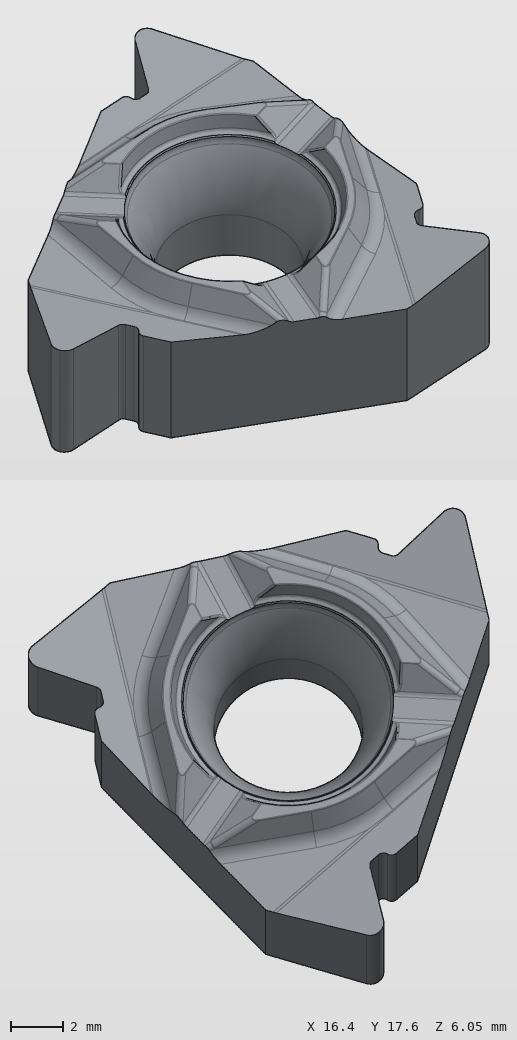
import cadquery as cq
import math

PITCH = 120
TIP_ANGLES = (0, PITCH, 2 * PITCH)

SIDE_DISTANCE = 6.33
FLANK_DISTANCE = 8.27
TIP_REACH = 9.32
TIP_RADIUS = 0.51
INNER_TIP_RADIUS = 0.53
FLANK_ANGLE = 60.0
SHOULDER_DISTANCE = 7.34
GROOVE_DISTANCE = 6.9
GROOVE_END_X = -1.67
SHOULDER_START_X = -1.15
GROOVE_RADIUS = 0.26

TIP_NORMAL = 270
SIDE_NORMAL = 180
NEXT_SIDE_NORMAL = SIDE_NORMAL + PITCH

TOP_Z = 6.05
FLOOR_Z = 5.0
CHANNEL_Z = 5.28
LEDGE_Z = 5.33

CREASE_DISTANCE = 5.88
RAKE_ANGLE = 9.0
CREASE_RADIUS = 0.7

ISLAND_RADIUS = 4.82
WALL_SLANT = 36.0
WALL_FOOT_RADIUS = 0.7
ARC_START = -2.3
ARC_END = 30.3
WALL_LENGTH = 4.57

CHANNEL_ANGLE = 74.0
CHANNEL_FLOOR_HALF_WIDTH = 0.55
CHANNEL_TOP_HALF_WIDTH = 1.55
CHANNEL_RADIUS = 0.32
RIDGE_ROUND = 0.25
RECESS_EDGE_ROUND = 0.1
TOP_ROUND = 0.05

HOLE_RADIUS = 5.7 / 2
FLARE_TOP_RADIUS = 3.92
FLARE_TOP_Z = 5.0
FLARE_RADIUS = 4.15
LIP_HOLLOW_RADIUS = 0.42
RECESS_TOP_RADIUS = 4.5
RECESS_BOTTOM_RADIUS = 4.25
RECESS_ROUND = 0.21

CLEARANCE = 1.76
OUTER_REACH = 12.31


def rotated(point, degrees):
    """Turn a plan point about the hole axis."""
    c = math.cos(math.radians(degrees))
    s = math.sin(math.radians(degrees))
    return (point[0] * c - point[1] * s, point[0] * s + point[1] * c)


def repeated(body):
    """Union of a body with its two copies around the hole axis."""
    combined = body
    for angle in TIP_ANGLES[1:]:
        combined = combined.union(body.rotate((0, 0, 0), (0, 0, 1), angle))
    return combined


def rounded_nearest(body, point, radius):
    """Round, at every tip, the edge closest to a point given for the first tip or channel."""
    x, y, z = point
    for angle in TIP_ANGLES:
        spot = (*rotated((x, y), angle), z)
        body = body.edges(cq.selectors.NearestToPointSelector(spot)).fillet(radius)
    return body


def crossing(normal_a, distance_a, normal_b, distance_b):
    """Plan point where two lines meet, each given by its normal angle and distance from the axis."""
    a = math.radians(normal_a)
    b = math.radians(normal_b)
    det = math.sin(b - a)
    x = (distance_a * math.sin(b) - distance_b * math.sin(a)) / det
    y = (distance_b * math.cos(a) - distance_a * math.cos(b)) / det
    return (x, y)


def outline_body():
    """Full-height prism of the plan outline, its tips and relief grooves included."""
    cos_flank = math.cos(math.radians(FLANK_ANGLE))
    sin_flank = math.sin(math.radians(FLANK_ANGLE))
    tan_flank = sin_flank / cos_flank
    tip_y = TIP_RADIUS - TIP_REACH
    tip_x = -(FLANK_DISTANCE - TIP_RADIUS + tip_y * cos_flank) / sin_flank

    side_to_flank = crossing(SIDE_NORMAL, SIDE_DISTANCE, TIP_NORMAL - FLANK_ANGLE, FLANK_DISTANCE)
    crest = (tip_x, -TIP_REACH)

    def on_tip(radius, degrees):
        """Point on a tip arc that touches the crest, by its angle from the crest."""
        turn = math.radians(degrees)
        return (tip_x + radius * math.sin(turn), -TIP_REACH + radius * (1 - math.cos(turn)))

    flank_end = on_tip(TIP_RADIUS, -FLANK_ANGLE)
    flank_middle = on_tip(TIP_RADIUS, -FLANK_ANGLE / 2)
    inner_flank_start = on_tip(INNER_TIP_RADIUS, FLANK_ANGLE)
    inner_flank_middle = on_tip(INNER_TIP_RADIUS, FLANK_ANGLE / 2)
    groove_start = (
        inner_flank_start[0] + (-GROOVE_DISTANCE - inner_flank_start[1]) / tan_flank,
        -GROOVE_DISTANCE,
    )
    groove_end = (GROOVE_END_X, -GROOVE_DISTANCE)
    shoulder_start = (SHOULDER_START_X, -SHOULDER_DISTANCE)
    curve_middle = (
        (GROOVE_END_X + SHOULDER_START_X) / 2,
        -(GROOVE_DISTANCE + SHOULDER_DISTANCE) / 2,
    )
    shoulder_end = crossing(TIP_NORMAL, SHOULDER_DISTANCE, NEXT_SIDE_NORMAL, SIDE_DISTANCE)

    wire = cq.Workplane("XY").moveTo(*side_to_flank)
    for angle in TIP_ANGLES:
        if angle != TIP_ANGLES[0]:
            wire = wire.lineTo(*rotated(side_to_flank, angle))
        wire = (
            wire.lineTo(*rotated(flank_end, angle))
            .threePointArc(rotated(flank_middle, angle), rotated(crest, angle))
            .threePointArc(rotated(inner_flank_middle, angle), rotated(inner_flank_start, angle))
            .lineTo(*rotated(groove_start, angle))
            .lineTo(*rotated(groove_end, angle))
            .tangentArcPoint(rotated(curve_middle, angle), relative=False)
            .tangentArcPoint(rotated(shoulder_start, angle), relative=False)
            .lineTo(*rotated(shoulder_end, angle))
        )
    body = wire.close().extrude(TOP_Z)
    return rounded_nearest(body, (*groove_start, TOP_Z / 2), GROOVE_RADIUS)


def rake_body():
    """Flat floor with three faces that climb outwards from rounded creases."""
    rise = (OUTER_REACH - CREASE_DISTANCE) * math.tan(math.radians(RAKE_ANGLE))
    wedge = (
        cq.Workplane("YZ")
        .polyline([
            (OUTER_REACH, 0),
            (-OUTER_REACH, 0),
            (-OUTER_REACH, FLOOR_Z + rise),
            (-CREASE_DISTANCE, FLOOR_Z),
            (OUTER_REACH, FLOOR_Z),
        ])
        .close()
        .extrude(OUTER_REACH, both=True)
    )
    crease = cq.selectors.NearestToPointSelector((0, -CREASE_DISTANCE, FLOOR_Z))
    return repeated(wedge.edges(crease).fillet(CREASE_RADIUS))


def wall_section():
    """Radial half section of the raised centre: flat top, sloped wall and hollow foot."""
    slant = math.radians(WALL_SLANT)
    turn = math.radians(90 - WALL_SLANT)
    toe = ISLAND_RADIUS + (TOP_Z - FLOOR_Z) * math.tan(slant)
    tangent = WALL_FOOT_RADIUS * math.tan(turn / 2)
    foot_start = (toe - tangent * math.sin(slant), FLOOR_Z + tangent * math.cos(slant))
    foot_end = (toe + tangent, FLOOR_Z)
    foot_middle = (
        foot_end[0] - WALL_FOOT_RADIUS * math.sin(turn / 2),
        FLOOR_Z + WALL_FOOT_RADIUS * (1 - math.cos(turn / 2)),
    )
    return (
        cq.Workplane("XZ")
        .lineTo(0, TOP_Z)
        .lineTo(ISLAND_RADIUS, TOP_Z)
        .lineTo(*foot_start)
        .threePointArc(foot_middle, foot_end)
        .lineTo(foot_end[0], 0)
        .close()
    )


def island_third():
    """Section swept along a straight, an arc and a straight."""
    axis = (0, 0, 0), (0, 0, 1)
    arc = wall_section().revolve(ARC_END - ARC_START, (0, 0), (0, 1)).rotate(*axis, ARC_START)
    first = wall_section().extrude(WALL_LENGTH).rotate(*axis, ARC_START)
    last = wall_section().extrude(-WALL_LENGTH).rotate(*axis, ARC_END)
    return arc.union(first).union(last)


def channel_cutter():
    """Radial trapezoid with rounded floor corners, turned to the first channel."""
    top_z = TOP_Z + CLEARANCE
    slope = (CHANNEL_TOP_HALF_WIDTH - CHANNEL_FLOOR_HALF_WIDTH) / (TOP_Z - CHANNEL_Z)
    top_half = CHANNEL_FLOOR_HALF_WIDTH + slope * (top_z - CHANNEL_Z)
    return (
        cq.Workplane("YZ")
        .polyline([
            (-CHANNEL_FLOOR_HALF_WIDTH, CHANNEL_Z),
            (CHANNEL_FLOOR_HALF_WIDTH, CHANNEL_Z),
            (top_half, top_z),
            (-top_half, top_z),
        ])
        .close()
        .extrude(OUTER_REACH)
        .edges("|X and <Z")
        .fillet(CHANNEL_RADIUS)
        .rotate((0, 0, 0), (0, 0, 1), CHANNEL_ANGLE)
    )


def hole_cutter():
    """Revolved void: bore, flare, rim, ledge and recess."""
    flare_angle = math.acos(1 - (FLARE_TOP_RADIUS - HOLE_RADIUS) / FLARE_RADIUS)
    flare_bottom_z = FLARE_TOP_Z - FLARE_RADIUS * math.sin(flare_angle)
    flare_middle = (
        HOLE_RADIUS + FLARE_RADIUS * (1 - math.cos(flare_angle / 2)),
        flare_bottom_z + FLARE_RADIUS * math.sin(flare_angle / 2),
    )
    rim_radius = FLARE_TOP_RADIUS + LIP_HOLLOW_RADIUS * (1 - math.cos(flare_angle))
    rim_z = FLARE_TOP_Z + LIP_HOLLOW_RADIUS * math.sin(flare_angle)
    lip_middle = (
        rim_radius - LIP_HOLLOW_RADIUS * (1 - math.cos(flare_angle / 2)),
        rim_z - LIP_HOLLOW_RADIUS * math.sin(flare_angle / 2),
    )
    return (
        cq.Workplane("XZ")
        .lineTo(HOLE_RADIUS, 0)
        .lineTo(HOLE_RADIUS, flare_bottom_z)
        .threePointArc(flare_middle, (FLARE_TOP_RADIUS, FLARE_TOP_Z))
        .threePointArc(lip_middle, (rim_radius, rim_z))
        .lineTo(rim_radius + LEDGE_Z - rim_z, LEDGE_Z)
        .lineTo(RECESS_BOTTOM_RADIUS, LEDGE_Z)
        .lineTo(RECESS_TOP_RADIUS, TOP_Z)
        .lineTo(0, TOP_Z)
        .close()
        .revolve(360, (0, 0), (0, 1))
        .edges(cq.selectors.RadiusNthSelector(-2))
        .fillet(RECESS_ROUND)
    )


def channel_edge_points():
    """Points halfway up the ridges and the recess edges on both sides of the first channel."""
    z = (TOP_Z + CHANNEL_Z) / 2
    half_width = (CHANNEL_TOP_HALF_WIDTH + CHANNEL_FLOOR_HALF_WIDTH) / 2
    wall = ISLAND_RADIUS + (TOP_Z - z) * math.tan(math.radians(WALL_SLANT))
    recess = (RECESS_TOP_RADIUS + RECESS_BOTTOM_RADIUS) / 2
    along = math.sqrt(recess**2 - half_width**2)
    ridges = []
    recess_edges = []
    for side, wall_normal in ((-1, ARC_END), (1, ARC_START + PITCH)):
        ridges.append((*crossing(wall_normal, wall, CHANNEL_ANGLE + side * 90, half_width), z))
        recess_edges.append((*rotated((along, side * half_width), CHANNEL_ANGLE), z))
    return ridges, recess_edges


ridges, recess_edges = channel_edge_points()

body = rake_body().union(repeated(island_third())).cut(repeated(channel_cutter()))
for point in ridges:
    body = rounded_nearest(body, point, RIDGE_ROUND)

body = body.intersect(outline_body()).cut(hole_cutter())
for point in recess_edges:
    body = rounded_nearest(body, point, RECESS_EDGE_ROUND)

result = body.faces(">Z").edges().fillet(TOP_ROUND)